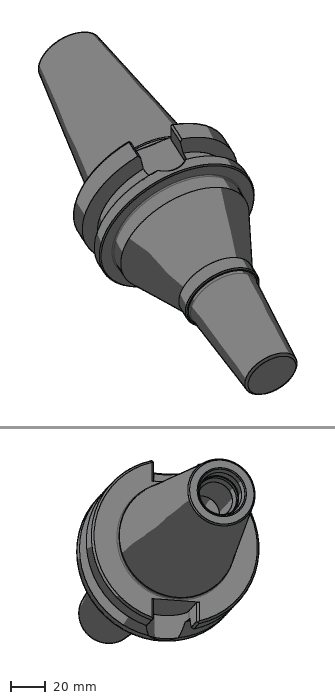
import cadquery as cq
import math


total_length = 261.8
shank_taper = 7 / 24
gauge_x = 101.8
gauge_radius = 34.8
shank_end_x = 101.0
shank_chamfer = 0.8
relief_radius = 34.3
relief_chamfer = 0.8
relief_fillet = 0.8

flange_front_x = 104.5
flange_back_x = 139.8
flange_radius = 50.0
flange_front_chamfer = 1.3
flange_back_chamfer = 0.8
groove_center_x = 125.0
groove_floor_radius = 42.5
groove_floor_width = 6.5
groove_half_angle = 30

slot_width = 25.7
slot_floor_z = 35.3
slot_end_x = 136.1
slot_chamfer = 1.3
slot_end_bevel = 0.8

neck_radius = 41.4
neck_end_x = 149.5
neck_fillet = 0.8
collar_radius = 23.8
collar_start_x = 189.3
collar_end_x = 197.7
collar_chamfer = 0.8
nose_root_radius = 22.3
nose_root_width = 1.5
nose_end_radius = 16.8
nose_half_angle = 4.5
nose_chamfer = 1.3

pilot_radius = 12.5
pilot_depth = 9.5
pilot_chamfer_radius = 14.0
pilot_chamfer_end_x = 3.0
mouth_radius = 14.7
mouth_depth = 0.4
recess_radius = 12.0
recess_end_x = 12.5
thread_start_x = 15.7
thread_radius = 10.5
thread_depth = 45.0
drill_tip_half_angle = 59

shank_slope = shank_taper / 2
shank_small_radius = gauge_radius - gauge_x * shank_slope
shank_large_radius = shank_small_radius + shank_end_x * shank_slope
groove_rise = flange_radius - groove_floor_radius
groove_slope_width = groove_rise * math.tan(math.radians(groove_half_angle))
groove_floor_front_x = groove_center_x - groove_floor_width / 2
groove_floor_back_x = groove_center_x + groove_floor_width / 2
groove_front_x = groove_floor_front_x - groove_slope_width
groove_back_x = groove_floor_back_x + groove_slope_width
nose_start_x = collar_end_x + collar_chamfer + nose_root_width
nose_slope = math.tan(math.radians(nose_half_angle))
nose_start_radius = nose_end_radius + (total_length - nose_start_x) * nose_slope
nose_chamfer_radius = nose_end_radius + nose_chamfer * nose_slope


def revolve_outline(outline):
    """Turn a closed XY outline (x along the axis, y as radius) about the X axis."""
    return outline.close().revolve(360, (0, 0, 0), (1, 0, 0))


def holder_body():
    """The complete turned outside, without bore or slots."""
    outline = (
        cq.Workplane("XY")
        .moveTo(0, 0)
        .lineTo(0, shank_small_radius - shank_chamfer)
        .lineTo(shank_chamfer, shank_small_radius + shank_chamfer * shank_slope)
        .lineTo(shank_end_x, shank_large_radius)
        .lineTo(shank_end_x + relief_chamfer, relief_radius)
        .lineTo(flange_front_x - relief_fillet, relief_radius)
        .radiusArc((flange_front_x, relief_radius + relief_fillet), -relief_fillet)
        .lineTo(flange_front_x, flange_radius - flange_front_chamfer)
        .lineTo(flange_front_x + flange_front_chamfer, flange_radius)
        .lineTo(groove_front_x, flange_radius)
        .lineTo(groove_floor_front_x, groove_floor_radius)
        .lineTo(groove_floor_back_x, groove_floor_radius)
        .lineTo(groove_back_x, flange_radius)
        .lineTo(flange_back_x - flange_back_chamfer, flange_radius)
        .lineTo(flange_back_x, flange_radius - flange_back_chamfer)
        .lineTo(flange_back_x, neck_radius + neck_fillet)
        .radiusArc((flange_back_x + neck_fillet, neck_radius), -neck_fillet)
        .lineTo(neck_end_x, neck_radius)
        .lineTo(collar_start_x, collar_radius)
        .lineTo(collar_end_x, collar_radius)
        .lineTo(collar_end_x + collar_chamfer, collar_radius - collar_chamfer)
        .lineTo(collar_end_x + collar_chamfer, nose_root_radius)
        .lineTo(nose_start_x, nose_start_radius)
        .lineTo(total_length - nose_chamfer, nose_chamfer_radius)
        .lineTo(total_length, nose_end_radius - nose_chamfer)
        .lineTo(total_length, 0)
    )
    return revolve_outline(outline)


def drawbar_bore():
    """Chamfered pilot, thread core and drill tip."""
    tip_length = thread_radius / math.tan(math.radians(drill_tip_half_angle))
    outline = cq.Workplane("XY").polyline([
        (0, 0),
        (0, mouth_radius),
        (mouth_depth, pilot_chamfer_radius),
        (pilot_chamfer_end_x, pilot_radius),
        (pilot_depth, pilot_radius),
        (pilot_depth, recess_radius),
        (recess_end_x, recess_radius),
        (thread_start_x, thread_radius),
        (thread_depth, thread_radius),
        (thread_depth + tip_length, 0),
    ])
    return revolve_outline(outline)


def upper_drive_slot():
    """Round-ended slot on the +Z side with chamfered mouth and top edges."""
    half_width = slot_width / 2
    slot_height = flange_radius - slot_floor_z
    arc_center_x = slot_end_x - half_width
    slot = (
        cq.Workplane("XY", origin=(0, 0, slot_floor_z))
        .moveTo(flange_front_x, -half_width)
        .lineTo(arc_center_x, -half_width)
        .threePointArc((slot_end_x, 0), (arc_center_x, half_width))
        .lineTo(flange_front_x, half_width)
        .close()
        .extrude(slot_height)
    )
    mouth = (
        cq.Workplane("XY", origin=(0, 0, slot_floor_z))
        .polyline([
            (flange_front_x, -half_width - slot_chamfer),
            (flange_front_x + slot_chamfer, -half_width),
            (flange_front_x + slot_chamfer, half_width),
            (flange_front_x, half_width + slot_chamfer),
        ])
        .close()
        .extrude(slot_height)
    )
    outer_half_width = half_width + slot_chamfer
    rim_z = math.sqrt(flange_radius**2 - outer_half_width**2)
    bevel_bottom_z = rim_z - slot_chamfer
    top_half_width = half_width + flange_radius - bevel_bottom_z
    bevel = (
        cq.Workplane("YZ", origin=(flange_front_x, 0, 0))
        .polyline([
            (-half_width, bevel_bottom_z),
            (half_width, bevel_bottom_z),
            (top_half_width, flange_radius),
            (-top_half_width, flange_radius),
        ])
        .close()
        .extrude(groove_floor_front_x - flange_front_x)
    )
    end_bevel = cq.Workplane(cq.Solid.makeCone(
        half_width,
        half_width + slot_end_bevel,
        slot_end_bevel,
        pnt=cq.Vector(arc_center_x, 0, flange_radius - slot_end_bevel),
    ))
    return slot.union(mouth).union(bevel).union(end_bevel)


upper_slot = upper_drive_slot()
lower_slot = upper_slot.mirror("XY")

result = holder_body().cut(drawbar_bore()).cut(upper_slot).cut(lower_slot)